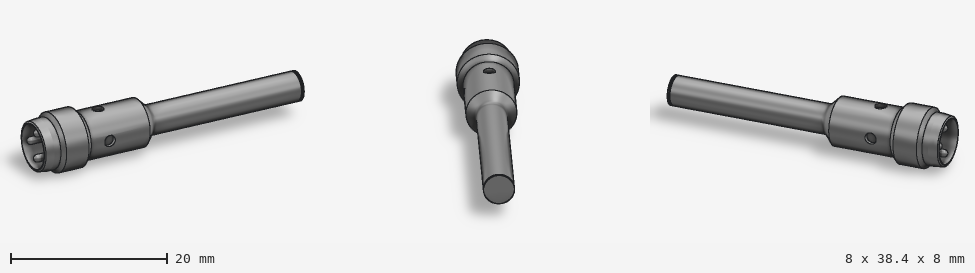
import cadquery as cq
import math

TOTAL_LENGTH = 38.4

CABLE_RADIUS = 2.0
END_GROOVE_DEPTH = 0.1
END_GROOVE_WIDTH = 0.15
END_GROOVE_OFFSET = 0.2
CABLE_FILLET = 0.65

GRIP_RADIUS = 3.25
GRIP_END = 15.3

COLLAR_RADIUS = 4.0
COLLAR_FRONT = 2.73
COLLAR_BACK = 6.0

NOSE_RADIUS = 3.45
NOSE_TAPER_LENGTH = 1.3
NOSE_TIP_RADIUS = 3.3
NOSE_BEVEL_LENGTH = 0.1
NOSE_FACE_RADIUS = 3.07

BORE_RADIUS = 2.95
BORE_DEPTH = 4.5

SIDE_HOLE_RADIUS = 0.75
SIDE_HOLE_POSITION = 9.45
SIDE_HOLE_DEPTH = 0.58
SIDE_HOLE_COUNT = 4

PIN_RADIUS = 0.5
PIN_CIRCLE_RADIUS = 1.75
PIN_TIP = 0.15
PIN_ANGLES = (90, 180, 270)


def make_outer_body():
    """Revolve the outline of nose, collar, grip and cable about the Y axis."""
    sin_45 = math.sin(math.radians(45))
    fillet_outer_radius = CABLE_RADIUS + CABLE_FILLET * (1 - sin_45)
    fillet_start = GRIP_END + GRIP_RADIUS - fillet_outer_radius
    fillet_end = fillet_start + CABLE_FILLET * sin_45
    half_angle = math.radians(22.5)
    fillet_middle = (
        CABLE_RADIUS + CABLE_FILLET * (1 - math.cos(half_angle)),
        fillet_end - CABLE_FILLET * math.sin(half_angle),
    )
    groove_end = TOTAL_LENGTH - END_GROOVE_OFFSET
    groove_start = groove_end - END_GROOVE_WIDTH
    groove_radius = CABLE_RADIUS - END_GROOVE_DEPTH
    return (
        cq.Workplane("XY")
        .moveTo(0, 0)
        .lineTo(NOSE_FACE_RADIUS, 0)
        .lineTo(NOSE_TIP_RADIUS, NOSE_BEVEL_LENGTH)
        .lineTo(NOSE_RADIUS, NOSE_TAPER_LENGTH)
        .lineTo(NOSE_RADIUS, COLLAR_FRONT - (COLLAR_RADIUS - NOSE_RADIUS))
        .lineTo(COLLAR_RADIUS, COLLAR_FRONT)
        .lineTo(COLLAR_RADIUS, COLLAR_BACK)
        .lineTo(GRIP_RADIUS, COLLAR_BACK + COLLAR_RADIUS - GRIP_RADIUS)
        .lineTo(GRIP_RADIUS, GRIP_END)
        .lineTo(fillet_outer_radius, fillet_start)
        .threePointArc(fillet_middle, (CABLE_RADIUS, fillet_end))
        .lineTo(CABLE_RADIUS, groove_start)
        .lineTo(groove_radius, groove_start)
        .lineTo(groove_radius, groove_end)
        .lineTo(CABLE_RADIUS, groove_end)
        .lineTo(CABLE_RADIUS, TOTAL_LENGTH)
        .lineTo(0, TOTAL_LENGTH)
        .close()
        .revolve(360, (0, 0, 0), (0, 1, 0))
    )


def make_bore():
    """Blind socket bore opening at the mating face."""
    return cq.Workplane("XZ").circle(BORE_RADIUS).extrude(-BORE_DEPTH)


def make_side_hole(angle):
    """Cutter for one flat-bottomed radial hole at the given angle about Y."""
    return (
        cq.Workplane("XY", origin=(0, SIDE_HOLE_POSITION, GRIP_RADIUS - SIDE_HOLE_DEPTH))
        .circle(SIDE_HOLE_RADIUS)
        .extrude(2 * SIDE_HOLE_DEPTH)
        .rotate((0, 0, 0), (0, 1, 0), angle)
    )


def make_housing():
    """Housing and cable in one solid, with the bore and the radial holes."""
    housing = make_outer_body().cut(make_bore())
    for index in range(SIDE_HOLE_COUNT):
        housing = housing.cut(make_side_hole(index * 360 / SIDE_HOLE_COUNT))
    return housing


def make_pin(angle):
    """One round-tipped pin, at the given angle from +X toward +Z."""
    x = PIN_CIRCLE_RADIUS * math.cos(math.radians(angle))
    z = PIN_CIRCLE_RADIUS * math.sin(math.radians(angle))
    tip_arc_offset = PIN_RADIUS * math.sin(math.radians(45))
    tip_center = PIN_TIP + PIN_RADIUS
    return (
        cq.Workplane("XY")
        .moveTo(0, PIN_TIP)
        .threePointArc((tip_arc_offset, tip_center - tip_arc_offset), (PIN_RADIUS, tip_center))
        .lineTo(PIN_RADIUS, BORE_DEPTH)
        .lineTo(0, BORE_DEPTH)
        .close()
        .revolve(360, (0, 0, 0), (0, 1, 0))
        .translate((x, 0, z))
    )


housing = make_housing()
pins = [make_pin(angle) for angle in PIN_ANGLES]

result = cq.Compound.makeCompound([housing.val(), *[pin.val() for pin in pins]])